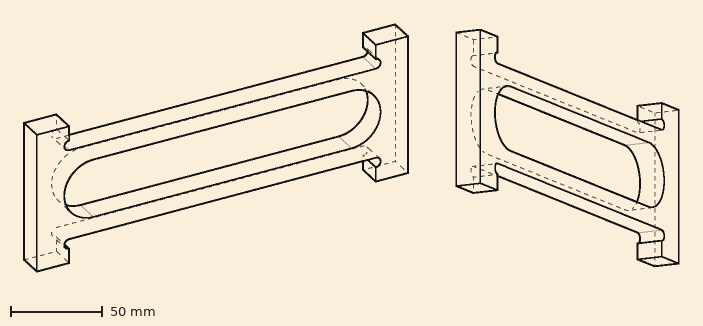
import cadquery as cq

thickness = 15.0
length = 230.0
height = 86.0

head_length = 20.0
web_height = 56.0
rail_height = 10.0
slot_end_wall = 17.0
relief_radius = 3.0

head_inner_y = length / 2 - head_length
web_top_z = web_height / 2
slot_length = length - 2 * slot_end_wall
slot_height = web_height - 2 * rail_height


def centred_plate(size_y, size_z):
    """Rectangular plate of full thickness, centred on the origin."""
    return cq.Workplane("YZ").rect(size_y, size_z).extrude(thickness / 2, both=True)


def make_frame():
    """Web between two taller heads."""
    frame = centred_plate(length, web_height)
    head = centred_plate(head_length, height)
    for side in (-1, 1):
        head_centre_y = side * (length - head_length) / 2
        frame = frame.union(head.translate((0, head_centre_y, 0)))
    return frame


def make_slot():
    """Round-ended opening that separates the two rails."""
    return cq.Workplane("YZ").slot2D(slot_length, slot_height).extrude(thickness / 2, both=True)


def make_corner_reliefs():
    """Round undercuts in the heads, tangent to the outer rail faces."""
    relief_z = web_top_z + relief_radius
    centres = [(y * head_inner_y, z * relief_z) for y in (-1, 1) for z in (-1, 1)]
    return (
        cq.Workplane("YZ")
        .pushPoints(centres)
        .circle(relief_radius)
        .extrude(thickness / 2, both=True)
    )


result = make_frame().cut(make_slot()).cut(make_corner_reliefs())